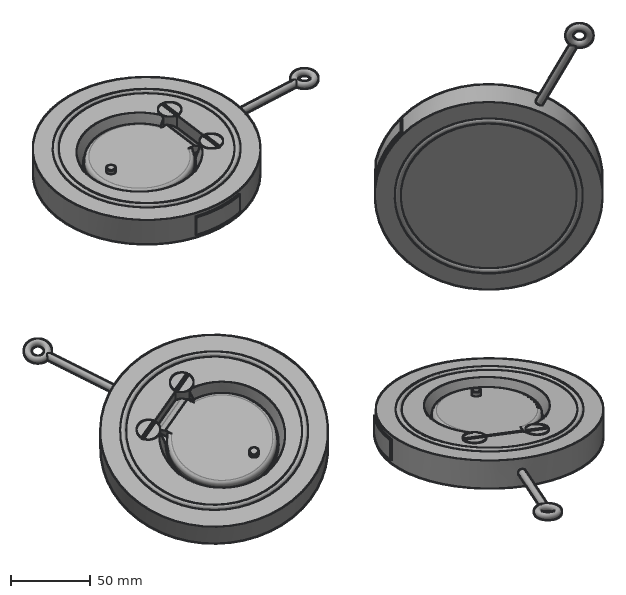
import cadquery as cq

disc_diameter = 144.0
disc_thickness = 20.0
disc_radius = disc_diameter / 2
face_z = disc_thickness / 2

overall_height = 23.0
bead_outer_diameter = 119.0
bead_inner_diameter = 111.0
bead_section_radius = (bead_outer_diameter - bead_inner_diameter) / 4
bead_path_radius = (bead_outer_diameter + bead_inner_diameter) / 4
bead_center_z = overall_height / 2 - bead_section_radius

overall_width = 145.0
plate_radius = overall_width - disc_radius
plate_length = 35.8
plate_height = 14.3

recess_center_y = -5.9
recess_top_radius = 39.8
recess_floor_radius = 35.8
recess_floor_z = 0.0
recess_depth = face_z - recess_floor_z
notch_end_y = 36.0
notch_width = 36.2

screw_diameter = 15.0
screw_spacing = 41.3
screw_positions_x = (-screw_spacing / 2, screw_spacing / 2)
screw_rise = 0.5
screw_top_z = face_z + screw_rise
screw_slot_width = 1.5
screw_slot_depth = 1.0

flap_radius = 35.0
flap_edge_round = 3.0
flap_top_z = 6.5
flap_thickness = flap_top_z - recess_floor_z
tab_width = 27.4
tab_flat_end_y = 27.8
tab_slope_end_y = 32.5
tab_slope_drop = 3.2
stud_diameter = 6.0
stud_chamfer = 0.5
stud_height = 3.2
stud_y = -29.3

rod_diameter = 5.3
rod_radius = rod_diameter / 2
overall_length = 210.5
eye_outer_radius = 9.0
eye_path_radius = eye_outer_radius - rod_radius
eye_center_y = overall_length - disc_radius - eye_outer_radius
rod_socket_depth = 8.5
rod_start_y = disc_radius - rod_socket_depth
rod_length = eye_center_y - eye_path_radius - rod_start_y


def make_rod():
    """Straight rod from its seat in the housing towards +Y."""
    return cq.Workplane("XZ", origin=(0, rod_start_y, 0)).circle(rod_radius).extrude(-rod_length)


def make_bead(center_z):
    """Torus around the Z axis."""
    return cq.Workplane("XY").add(
        cq.Solid.makeTorus(bead_path_radius, bead_section_radius, cq.Vector(0, 0, center_z))
    )


def make_rim_plate():
    """Curved plate hugging the +X side of the rim."""
    blank = cq.Workplane("XY").circle(plate_radius).extrude(plate_height / 2, both=True)
    window = cq.Workplane("XY").box(
        plate_radius, plate_length, plate_height, centered=(False, True, True)
    )
    return blank.intersect(window)


def make_recess():
    """Conical recess joined to the hinge notch, as a cutting volume."""
    cone = cq.Workplane("XY").add(
        cq.Solid.makeCone(
            recess_floor_radius,
            recess_top_radius,
            recess_depth,
            cq.Vector(0, recess_center_y, recess_floor_z),
        )
    )
    notch = cq.Workplane("XY", origin=(0, recess_center_y, recess_floor_z)).box(
        notch_width, notch_end_y - recess_center_y, recess_depth, centered=(True, False, False)
    )
    return cone.union(notch)


def make_screw_head(x):
    """Round screw head standing on the recess floor and rising above the top face."""
    return (
        cq.Workplane("XY", origin=(x, notch_end_y, recess_floor_z))
        .circle(screw_diameter / 2)
        .extrude(screw_top_z - recess_floor_z)
    )


def make_screw_slot(x):
    """Cutting volume for the driver slot across a screw head."""
    return cq.Workplane("XY", origin=(x, notch_end_y, screw_top_z - screw_slot_depth)).box(
        screw_diameter, screw_slot_width, screw_slot_depth, centered=(True, True, False)
    )


def make_housing():
    """Disc with beads, rim plate, recess, screw heads and rod socket."""
    body = cq.Workplane("XY").circle(disc_radius).extrude(face_z, both=True)
    for center_z in (bead_center_z, -bead_center_z):
        body = body.union(make_bead(center_z))
    body = body.union(make_rim_plate()).cut(make_recess())
    for x in screw_positions_x:
        body = body.union(make_screw_head(x)).cut(make_screw_slot(x))
    return body.cut(make_rod())


def make_flap():
    """Round flap with a sloped hinge tab and a small stud."""
    plate = (
        cq.Workplane("XY", origin=(0, recess_center_y, recess_floor_z))
        .circle(flap_radius)
        .extrude(flap_thickness)
        .faces(">Z")
        .edges()
        .fillet(flap_edge_round)
    )
    tab = (
        cq.Workplane("YZ")
        .moveTo(recess_center_y, recess_floor_z)
        .lineTo(recess_center_y, flap_top_z)
        .lineTo(tab_flat_end_y, flap_top_z)
        .lineTo(tab_slope_end_y, flap_top_z - tab_slope_drop)
        .lineTo(notch_end_y, recess_floor_z)
        .close()
        .extrude(tab_width / 2, both=True)
    )
    stud = (
        cq.Workplane("XY", origin=(0, stud_y, flap_top_z))
        .circle(stud_diameter / 2)
        .extrude(stud_height)
        .faces(">Z")
        .chamfer(stud_chamfer)
    )
    flap_body = plate.union(tab).union(stud)
    for x in screw_positions_x:
        flap_body = flap_body.cut(make_screw_head(x))
    return flap_body


def make_eye_rod():
    """Rod ending in a ring that lies flat."""
    ring = cq.Solid.makeTorus(eye_path_radius, rod_radius, cq.Vector(0, eye_center_y, 0))
    return make_rod().union(cq.Workplane("XY").add(ring))


housing = make_housing()
flap = make_flap()
eye_rod = make_eye_rod()

result = cq.Compound.makeCompound([housing.val(), flap.val(), eye_rod.val()])